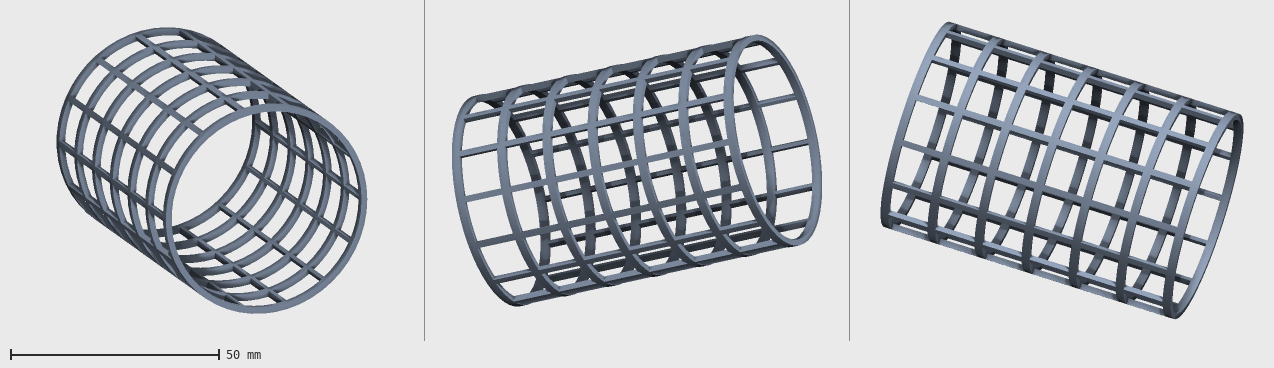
import cadquery as cq

length = 74.0
outer_diameter = 51.7
wall = 1.5
outer_radius = outer_diameter / 2

window_size = 10.0
windows_along = 6
windows_around = 14

ring_width = (length - windows_along * window_size) / (windows_along + 1)
window_pitch = window_size + ring_width
window_angle = 360 / windows_around


def cage_tube():
    """Plain hollow tube before the windows are cut."""
    return (
        cq.Workplane("YZ", origin=(-length / 2, 0, 0))
        .circle(outer_radius)
        .circle(outer_radius - wall)
        .extrude(length)
    )


def window_column(angle):
    """Row of straight-sided window cutters along X, turned about X by angle from -Y."""
    return (
        cq.Workplane("XZ")
        .rarray(window_pitch, window_size, windows_along, 1)
        .rect(window_size, window_size)
        .extrude(outer_diameter)
        .rotate((0, 0, 0), (1, 0, 0), angle)
    )


result = cage_tube()
for column in range(windows_around):
    result = result.cut(window_column((column + 0.5) * window_angle))